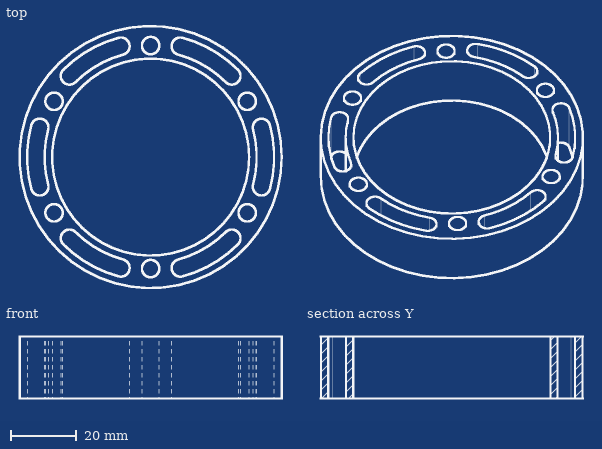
import cadquery as cq
import math

outer_diameter = 80.0
inner_diameter = 60.0
height = 19.0

pattern_count = 6
pattern_pitch = 360.0 / pattern_count
hole_diameter = 5.25
hole_circle_radius = 34.0
first_hole_angle = pattern_pitch / 2
slot_width = 5.25
slot_circle_radius = 35.0
slot_half_angle = 15.0


def polar_point(radius, angle):
    """Point in the XY plane at a radius and an angle in degrees."""
    return (radius * math.cos(math.radians(angle)), radius * math.sin(math.radians(angle)))


def make_ring():
    """Plain ring standing on the XY plane, centred on Z."""
    return cq.Workplane("XY").circle(outer_diameter / 2).circle(inner_diameter / 2).extrude(height)


def make_holes():
    """Cylinders for the round through holes."""
    return (
        cq.Workplane("XY")
        .polarArray(hole_circle_radius, first_hole_angle, 360, pattern_count)
        .circle(hole_diameter / 2)
        .extrude(height)
    )


def make_slot(middle_angle):
    """Curved through slot with round ends, concentric with the ring."""
    slot_inner = slot_circle_radius - slot_width / 2
    slot_outer = slot_circle_radius + slot_width / 2
    start = middle_angle - slot_half_angle
    end = middle_angle + slot_half_angle

    def tip(angle, direction):
        """Furthest point of the end round centred at an angle."""
        centre = polar_point(slot_circle_radius, angle)
        offset = polar_point(slot_width / 2, angle + direction * 90)
        return (centre[0] + offset[0], centre[1] + offset[1])

    return (
        cq.Workplane("XY")
        .moveTo(*polar_point(slot_outer, start))
        .threePointArc(polar_point(slot_outer, middle_angle), polar_point(slot_outer, end))
        .threePointArc(tip(end, 1), polar_point(slot_inner, end))
        .threePointArc(polar_point(slot_inner, middle_angle), polar_point(slot_inner, start))
        .threePointArc(tip(start, -1), polar_point(slot_outer, start))
        .close()
        .extrude(height)
    )


result = make_ring().cut(make_holes())
for index in range(pattern_count):
    result = result.cut(make_slot(index * pattern_pitch))